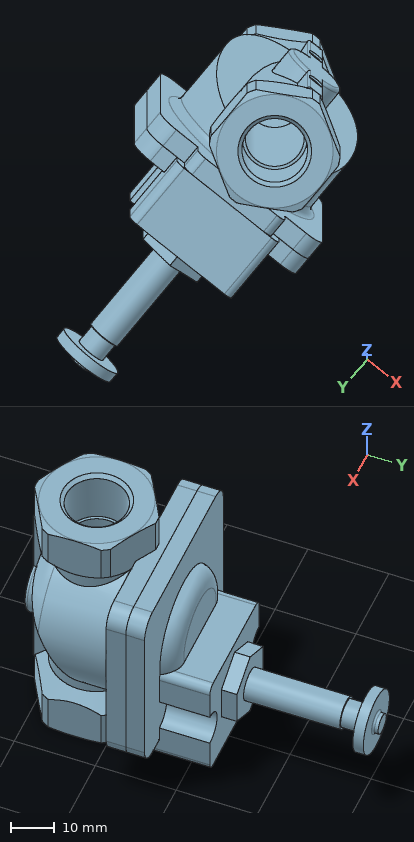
import cadquery as cq
import math


OVERALL_LENGTH = 85.5
HEX_SIDES = 6
HEX_HALF_ANGLE = 180 / HEX_SIDES

FLANGE_SIDE = 48.0
FLANGE_CORNER = 4.8
FLANGE_FRONT = 12.05
JOINT = 16.9
FLANGE_BACK = 21.55

BLOCK_WIDTH = 30.1
BLOCK_TOP = -1.45
BLOCK_BOTTOM = -29.5
BLOCK_BACK = 34.0
BLOCK_CORNER = 2.1
TAB_WIDTH = 25.7
TAB_CORNER = 2.3
GROOVE_RADIUS = 4.45
GROOVE_HEIGHT = (BLOCK_TOP + BLOCK_BOTTOM) / 2

CHAMBER_RADIUS = 19.4
CHAMBER_FOOT_FILLET = 2.05
CHAMBER_NOSE_ROUND = 5.3
CHAMBER_FRONT = -12.1
SLANT_ANGLE = 26.2
SLANT_LOW_Y = 3.3
SLANT_LOW_Z = -16.1

PORT_END = 33.5
NECK_RADIUS = 11.1
HEX_FLATS = 27.0
HEX_CORNER_DIAMETER = 30.0
HEX_FACE_DIAMETER = 26.7
HEX_END_BEVEL = 0.5
CONE_OFFSET = 8.55
BORE_DIAMETER = 13.5
PORT_DIAMETER = 15.0
PORT_CHAMFER = 0.9

BOSS_DIAMETER = 15.0
BOSS_ROUND = 0.85
RIB_WIDTH = 4.4
RIB_ROUND = 0.5
DIMPLE_DIAMETER = 3.25
DIMPLE_CHAMFER = 0.4
DIMPLE_SPACING = 25.0
DIMPLE_POINT_ANGLE = 140

DOME_TOP = 25.5
DOME_FLAT_RADIUS = 9.8
DOME_ROUND = 5.0

TUBE_HEIGHT = -13.5
NUT_FLATS = 16.0
NUT_BACK = 37.9
TUBE_DIAMETER = 8.0
TUBE_BACK = 61.65
STEM_DIAMETER = 7.0
DISC_DIAMETER = 16.0
DISC_FRONT = 66.4
DISC_BACK = 69.1
TIP_DIAMETER = 5.0
TIP_FILLET = 0.5

HEX_CORNER_RADIUS = HEX_CORNER_DIAMETER / 2
FRONT_FACE = -HEX_CORNER_RADIUS
TIP_BACK = FRONT_FACE + OVERALL_LENGTH
NECK_END = NECK_RADIUS + CONE_OFFSET
RIB_END = HEX_CORNER_RADIUS + CONE_OFFSET


def plane_at(y, z=0.0):
    """Work plane facing -Y; its local axes are X and Z, and a negative extrusion goes toward +Y."""
    return cq.Workplane("XZ", origin=(0, y, z))


def rod(diameter, y_start, y_end, z=0.0):
    return plane_at(y_start, z).circle(diameter / 2).extrude(y_start - y_end)


def arc_point(centre, radius, degrees):
    angle = math.radians(degrees)
    return centre[0] + radius * math.cos(angle), centre[1] + radius * math.sin(angle)


def across_corners(across_flats):
    return across_flats / math.cos(math.radians(HEX_HALF_ANGLE))


def flange(y_start, y_end):
    plate = plane_at(y_start).rect(FLANGE_SIDE, FLANGE_SIDE).extrude(y_start - y_end)
    return plate.edges("|Y").fillet(FLANGE_CORNER)


def low_block(width, top, y_start, y_end):
    """Square-edged block that reaches down to the common bottom face."""
    middle = (top + BLOCK_BOTTOM) / 2
    return plane_at(y_start, middle).rect(width, top - BLOCK_BOTTOM).extrude(y_start - y_end)


def chamber():
    """Round chamber with a foot fillet and a rounded nose, cut off by the slanted lower face."""
    foot_centre = (CHAMBER_RADIUS + CHAMBER_FOOT_FILLET, FLANGE_FRONT - CHAMBER_FOOT_FILLET)
    nose_centre = (CHAMBER_RADIUS - CHAMBER_NOSE_ROUND, CHAMBER_FRONT + CHAMBER_NOSE_ROUND)
    solid = (
        cq.Workplane("XY")
        .moveTo(0, FLANGE_FRONT)
        .lineTo(foot_centre[0], FLANGE_FRONT)
        .threePointArc(
            arc_point(foot_centre, CHAMBER_FOOT_FILLET, 135),
            (CHAMBER_RADIUS, foot_centre[1]),
        )
        .lineTo(CHAMBER_RADIUS, nose_centre[1])
        .threePointArc(
            arc_point(nose_centre, CHAMBER_NOSE_ROUND, -45),
            (nose_centre[0], CHAMBER_FRONT),
        )
        .lineTo(0, CHAMBER_FRONT)
        .close()
        .revolve(360, (0, 0), (0, 1))
    )
    return solid.cut(slant_cutter())


def slant_cutter():
    reach = CHAMBER_RADIUS + CHAMBER_FOOT_FILLET

    def slant_y(z):
        return SLANT_LOW_Y - (z - SLANT_LOW_Z) * math.tan(math.radians(SLANT_ANGLE))

    return (
        cq.Workplane("YZ")
        .polyline([(slant_y(reach), reach), (slant_y(-reach), -reach), (slant_y(reach), -reach)])
        .close()
        .extrude(reach, both=True)
    )


def hex_port():
    """Upper hexagon end; the revolved envelope trims its corners, end face and inner cone."""
    hexagon = (
        cq.Workplane("XY")
        .workplane(offset=NECK_END)
        .polygon(HEX_SIDES, across_corners(HEX_FLATS))
        .extrude(PORT_END - NECK_END)
        .rotate((0, 0, 0), (0, 0, 1), HEX_HALF_ANGLE)
    )
    envelope = (
        cq.Workplane("XZ")
        .moveTo(0, NECK_END)
        .lineTo(NECK_RADIUS, NECK_END)
        .lineTo(HEX_CORNER_RADIUS, RIB_END)
        .lineTo(HEX_CORNER_RADIUS, PORT_END - HEX_END_BEVEL)
        .lineTo(HEX_FACE_DIAMETER / 2, PORT_END)
        .lineTo(0, PORT_END)
        .close()
        .revolve(360, (0, 0), (0, 1))
    )
    return hexagon.intersect(envelope)


def flow_passage():
    """Through bore, wider and chamfered at both ends."""
    bore_radius = BORE_DIAMETER / 2
    port_radius = PORT_DIAMETER / 2
    upper_half = (
        cq.Workplane("XZ")
        .moveTo(0, 0)
        .lineTo(bore_radius, 0)
        .lineTo(bore_radius, NECK_END)
        .lineTo(port_radius, NECK_END)
        .lineTo(port_radius, PORT_END - PORT_CHAMFER)
        .lineTo(port_radius + PORT_CHAMFER, PORT_END)
        .lineTo(0, PORT_END)
        .close()
        .revolve(360, (0, 0), (0, 1))
    )
    return upper_half.union(upper_half.mirror("XY"))


def boss_and_rib():
    boss = rod(BOSS_DIAMETER, FRONT_FACE, 0).faces("<Y").edges().fillet(BOSS_ROUND)
    rib = plane_at(FRONT_FACE).rect(RIB_WIDTH, 2 * RIB_END).extrude(FRONT_FACE)
    rib = rib.faces("<Y").edges("|Z").fillet(RIB_ROUND)
    return boss.union(rib)


def rib_dimple(z):
    """Conical dimple with a chamfered mouth."""
    radius = DIMPLE_DIAMETER / 2
    chamfer_end = FRONT_FACE + DIMPLE_CHAMFER
    point = chamfer_end + radius / math.tan(math.radians(DIMPLE_POINT_ANGLE / 2))
    return (
        cq.Workplane("XY")
        .moveTo(0, FRONT_FACE)
        .lineTo(radius + DIMPLE_CHAMFER, FRONT_FACE)
        .lineTo(radius, chamfer_end)
        .lineTo(0, point)
        .close()
        .revolve(360, (0, 0), (0, 1))
        .translate((0, 0, z))
    )


def housing_tab():
    tab = low_block(TAB_WIDTH, 0, FLANGE_FRONT, JOINT)
    return tab.edges("|Y and <Z").fillet(TAB_CORNER)


def make_housing():
    neck = cq.Workplane("XY").circle(NECK_RADIUS).extrude(NECK_END, both=True)
    port = hex_port()
    housing = (
        flange(FLANGE_FRONT, JOINT)
        .union(housing_tab())
        .union(chamber())
        .union(neck)
        .union(port)
        .union(port.mirror("XY"))
        .union(boss_and_rib())
        .cut(flow_passage())
    )
    for z in (-DIMPLE_SPACING / 2, DIMPLE_SPACING / 2):
        housing = housing.cut(rib_dimple(z))
    return housing


def grooved_block():
    """Pilot block with rounded corners and a half-round groove down each side."""
    block = low_block(BLOCK_WIDTH, BLOCK_TOP, JOINT, BLOCK_BACK).edges("|Y").fillet(BLOCK_CORNER)
    for x in (-BLOCK_WIDTH / 2, BLOCK_WIDTH / 2):
        groove = rod(2 * GROOVE_RADIUS, JOINT, BLOCK_BACK, GROOVE_HEIGHT).translate((x, 0, 0))
        block = block.cut(groove)
    return block


def dome():
    round_centre = (DOME_FLAT_RADIUS, DOME_TOP - DOME_ROUND)
    rim_angle = math.degrees(math.asin((FLANGE_BACK - round_centre[1]) / DOME_ROUND))
    return (
        cq.Workplane("XY")
        .moveTo(0, FLANGE_BACK)
        .lineTo(*arc_point(round_centre, DOME_ROUND, rim_angle))
        .threePointArc(
            arc_point(round_centre, DOME_ROUND, (rim_angle + 90) / 2),
            (DOME_FLAT_RADIUS, DOME_TOP),
        )
        .lineTo(0, DOME_TOP)
        .close()
        .revolve(360, (0, 0), (0, 1))
    )


def tip():
    """Small end pin with a concave fillet at its foot on the disc."""
    radius = TIP_DIAMETER / 2
    fillet_centre = (radius + TIP_FILLET, DISC_BACK + TIP_FILLET)
    return (
        cq.Workplane("XY")
        .moveTo(0, DISC_BACK)
        .lineTo(fillet_centre[0], DISC_BACK)
        .threePointArc(
            arc_point(fillet_centre, TIP_FILLET, 225),
            (radius, fillet_centre[1]),
        )
        .lineTo(radius, TIP_BACK)
        .lineTo(0, TIP_BACK)
        .close()
        .revolve(360, (0, 0), (0, 1))
        .translate((0, 0, TUBE_HEIGHT))
    )


def hex_nut():
    hexagon = plane_at(BLOCK_BACK).polygon(HEX_SIDES, across_corners(NUT_FLATS))
    nut = hexagon.extrude(BLOCK_BACK - NUT_BACK)
    return nut.rotate((0, 0, 0), (0, 1, 0), HEX_HALF_ANGLE).translate((0, 0, TUBE_HEIGHT))


def make_bonnet():
    return (
        flange(JOINT, FLANGE_BACK)
        .union(grooved_block())
        .union(dome())
        .union(hex_nut())
        .union(rod(TUBE_DIAMETER, NUT_BACK, TUBE_BACK, TUBE_HEIGHT))
        .union(rod(STEM_DIAMETER, TUBE_BACK, DISC_FRONT, TUBE_HEIGHT))
        .union(rod(DISC_DIAMETER, DISC_FRONT, DISC_BACK, TUBE_HEIGHT))
        .union(tip())
    )


housing = make_housing()
bonnet = make_bonnet()
result = cq.Compound.makeCompound([housing.solids().val(), bonnet.solids().val()])